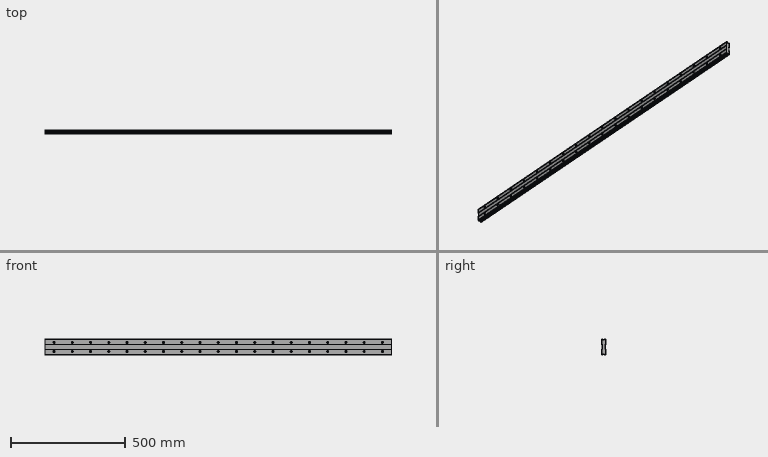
import cadquery as cq

length = 1520.0
thickness = 19.0
height = 69.0

web_thickness = 15.0
web_height = 22.0

front_chamfer = 1.0
back_chamfer = 2.5

groove_depth = 2.5
groove_floor_width = 4.5

hole_diameter = 7.0
hole_pitch = 80.0
hole_count = 19
row_spacing = 40.0

half_thickness = thickness / 2
half_height = height / 2
half_web_thickness = web_thickness / 2
half_web_height = web_height / 2
groove_center = (front_chamfer - back_chamfer) / 2
half_groove_floor = groove_floor_width / 2
half_groove_mouth = half_groove_floor + groove_depth
groove_floor_z = half_height - groove_depth


def upper_outline():
    """(Y, Z) points of the upper half of the section, from back to front."""
    return [
        (half_web_thickness, half_web_height),
        (half_thickness, half_web_height),
        (half_thickness, half_height - back_chamfer),
        (half_thickness - back_chamfer, half_height),
        (groove_center + half_groove_mouth, half_height),
        (groove_center + half_groove_floor, groove_floor_z),
        (groove_center - half_groove_floor, groove_floor_z),
        (groove_center - half_groove_mouth, half_height),
        (front_chamfer - half_thickness, half_height),
        (-half_thickness, half_height - front_chamfer),
        (-half_thickness, half_web_height),
        (-half_web_thickness, half_web_height),
    ]


def make_rail():
    """Extrude the section, whose lower half mirrors the upper half."""
    upper = upper_outline()
    lower = [(y, -z) for y, z in reversed(upper)]
    section = cq.Workplane("YZ").polyline(upper + lower).close()
    return section.extrude(length / 2, both=True)


def drill_holes(body):
    """Drill both rows of holes right through the heads."""
    drills = (
        cq.Workplane("XZ")
        .rarray(hole_pitch, row_spacing, hole_count, 2)
        .circle(hole_diameter / 2)
        .extrude(half_thickness, both=True)
    )
    return body.cut(drills)


result = drill_holes(make_rail())